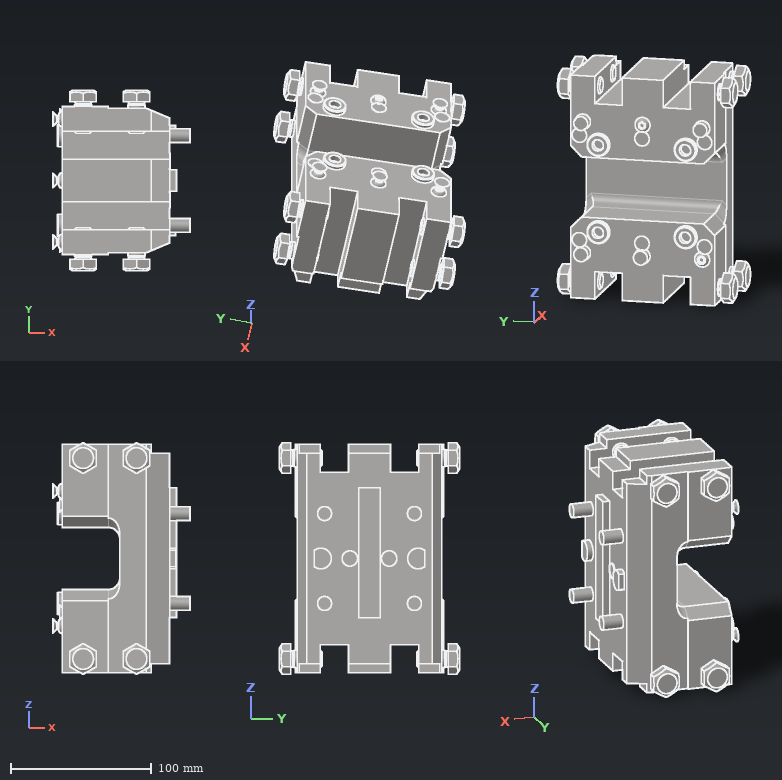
import cadquery as cq
import math


BLOCK_DEPTH = 76.5
JAW_DEPTH = 33.0
JAW_HALF_WIDTH = 52.75
BACK_HALF_WIDTH = 51.5
FULL_HEIGHT_DEPTH = 63.5
HALF_HEIGHT = 81.5
BACK_HALF_HEIGHT = 75.0
TAPER_START = 60.0
TAPER_END_HALF_WIDTH = 44.5

SLOT_WIDTH = 20.0
SLOT_DEPTH = 20.0
SLOT_INNER_Y = 15.0

CHANNEL_HALF_HEIGHT = 22.0
CHANNEL_DEPTH = 41.0
CHANNEL_MOUTH_FLARE = 8.0
CHANNEL_RADIUS = 8.0

BOLT_X = (15.0, 53.0)
BOLT_Z = 71.5
HEX_SIDES = 6
HEX_FLATS = 19.0
HEAD_TOP_Y = 64.3
HEAD_HEIGHT = 8.4
HEAD_FACE_RADIUS = 7.4
HEAD_CHAMFER_HEIGHT = 2.2
SHANK_RADIUS = 6.2
UNDERCUT_RADIUS = 5.4
UNDERCUT_WIDTH = 2.3
TIP_Y = 33.8
TIP_CHAMFER = 1.3

MOUNT_OFFSET = 32.0
MOUNT_HEAD_RADIUS = 8.0
MOUNT_HEAD_RISE = 3.5
MOUNT_HEAD_EDGE = 0.6
MOUNT_SHANK_RADIUS = 5.0
MOUNT_SHANK_END = 91.1
MOUNT_SOCKET_RADIUS = 4.1
MOUNT_SOCKET_DEPTH = 5.0

SUNK_RADIUS = 5.3
SUNK_RISE = 1.8
SUNK_Y = 45.9
SUNK_Z = 38.3

BUTTON_Y = 43.7
BUTTON_Z = 48.0
BUTTON_RADIUS = 5.5
BUTTON_TOP_RADIUS = 3.0
BUTTON_RISE = 2.6
BUTTON_BULGE = 0.4
SOCKET_CORE_RADIUS = 2.0
SOCKET_LOBE_RADIUS = 0.6
SOCKET_LOBES = 6
SOCKET_DEPTH = 1.6

RAISED_RADIUS = 5.1
RAISED_RISE = 6.5

CONE_NECK_RADIUS = 2.4
CONE_HEIGHT = 2.7

KEY_WIDTH = 15.6
KEY_TOP_Z = 50.4
KEY_BOTTOM_Z = -42.0
KEY_RISE = 5.0
PAD_Y = 34.6
PAD_RADIUS = 7.4
PAD_FLAT_Y = 39.3
PAD_RISE = 4.3
THIN_DISC_RADIUS = 5.5
THIN_DISC_RISE = 0.6
THIN_DISC_Y = 14.0

SIGNS = (1, -1)


def box(x_range, y_range, z_range):
    """Axis-aligned box between the given limits."""
    sizes = [high - low for low, high in (x_range, y_range, z_range)]
    corner = (x_range[0], y_range[0], z_range[0])
    return cq.Workplane("XY").box(*sizes, centered=False).translate(corner)


def centered_box(x_range, half_width, half_height):
    """Box centred on the X axis."""
    return box(x_range, (-half_width, half_width), (-half_height, half_height))


def cylinder_x(x_start, x_end, radius, y, z):
    """Cylinder along X."""
    return cq.Workplane("YZ", origin=(x_start, y, z)).circle(radius).extrude(x_end - x_start)


def front_revolve(profile, y, z):
    """Turn a closed XY profile, drawn with Y as the radius, about an X-parallel axis."""
    return profile.close().revolve(360, (0, 0, 0), (1, 0, 0)).translate((0, y, z))


def make_block():
    footprint = (
        cq.Workplane("XY", origin=(0, 0, -HALF_HEIGHT))
        .moveTo(0, -JAW_HALF_WIDTH)
        .lineTo(JAW_DEPTH, -JAW_HALF_WIDTH)
        .lineTo(JAW_DEPTH, -BACK_HALF_WIDTH)
        .lineTo(TAPER_START, -BACK_HALF_WIDTH)
        .lineTo(BLOCK_DEPTH, -TAPER_END_HALF_WIDTH)
        .lineTo(BLOCK_DEPTH, 0)
        .lineTo(0, 0)
        .close()
    )
    half = footprint.extrude(2 * HALF_HEIGHT)
    block = half.union(half.mirror("XZ"))
    for sign in SIGNS:
        z_limits = sorted((sign * BACK_HALF_HEIGHT, sign * HALF_HEIGHT))
        block = block.cut(
            box((FULL_HEIGHT_DEPTH, BLOCK_DEPTH), (-JAW_HALF_WIDTH, JAW_HALF_WIDTH), z_limits)
        )
    return block


def make_rail_slots():
    slots = cq.Workplane("XY")
    for y_sign in SIGNS:
        y_limits = sorted((y_sign * SLOT_INNER_Y, y_sign * (SLOT_INNER_Y + SLOT_WIDTH)))
        for z_sign in SIGNS:
            z_limits = sorted((z_sign * (HALF_HEIGHT - SLOT_DEPTH), z_sign * HALF_HEIGHT))
            slots = slots.union(box((0, BLOCK_DEPTH), y_limits, z_limits))
    return slots


def make_channel():
    """Channel that flares at 45 degrees toward both sides and has a rounded floor edge."""
    flare_start = JAW_HALF_WIDTH - CHANNEL_MOUTH_FLARE
    overrun = 2 * CHANNEL_MOUTH_FLARE
    outer_y = flare_start + overrun
    outer_z = CHANNEL_HALF_HEIGHT + overrun
    section = [
        (-outer_y, -outer_z),
        (-flare_start, -CHANNEL_HALF_HEIGHT),
        (flare_start, -CHANNEL_HALF_HEIGHT),
        (outer_y, -outer_z),
        (outer_y, outer_z),
        (flare_start, CHANNEL_HALF_HEIGHT),
        (-flare_start, CHANNEL_HALF_HEIGHT),
        (-outer_y, outer_z),
    ]
    channel = cq.Workplane("YZ").polyline(section).close().extrude(CHANNEL_DEPTH)
    return channel.faces(">X").edges("not |Z").fillet(CHANNEL_RADIUS)


def make_hex_bolt():
    """Hexagon bolt for the -Y side, its axis on the Y axis."""
    hex_radius = HEX_FLATS / math.sqrt(3)
    head_seat_y = HEAD_TOP_Y - HEAD_HEIGHT
    corner_angles = [2 * math.pi * i / HEX_SIDES for i in range(HEX_SIDES)]
    hexagon = [(hex_radius * math.sin(a), hex_radius * math.cos(a)) for a in corner_angles]
    seat_plane = cq.Workplane("XZ", origin=(0, -head_seat_y, 0))
    head = seat_plane.polyline(hexagon).close().extrude(HEAD_HEIGHT)
    chamfer_cone = (
        cq.Workplane("XY")
        .moveTo(0, -head_seat_y)
        .lineTo(hex_radius, -head_seat_y)
        .lineTo(hex_radius, HEAD_CHAMFER_HEIGHT - HEAD_TOP_Y)
        .lineTo(HEAD_FACE_RADIUS, -HEAD_TOP_Y)
        .lineTo(0, -HEAD_TOP_Y)
        .close()
        .revolve(360, (0, 0, 0), (0, 1, 0))
    )
    shank = (
        cq.Workplane("XY")
        .moveTo(0, -TIP_Y)
        .lineTo(SHANK_RADIUS - TIP_CHAMFER, -TIP_Y)
        .lineTo(SHANK_RADIUS, -TIP_Y - TIP_CHAMFER)
        .lineTo(SHANK_RADIUS, UNDERCUT_WIDTH - head_seat_y)
        .lineTo(UNDERCUT_RADIUS, UNDERCUT_WIDTH / 2 - head_seat_y)
        .lineTo(SHANK_RADIUS, -head_seat_y)
        .lineTo(0, -head_seat_y)
        .close()
        .revolve(360, (0, 0, 0), (0, 1, 0))
    )
    return head.intersect(chamfer_cone).union(shank)


def make_side_bolts():
    bolt = make_hex_bolt()
    bolts = cq.Workplane("XY")
    for side_bolt in (bolt, bolt.mirror("XZ")):
        for x in BOLT_X:
            for z_sign in SIGNS:
                bolts = bolts.union(side_bolt.translate((x, 0, z_sign * BOLT_Z)))
    return bolts


def make_mount_screw(y, z):
    head = cylinder_x(-MOUNT_HEAD_RISE, BLOCK_DEPTH / 2, MOUNT_HEAD_RADIUS, y, z)
    head = head.faces("<X").edges().chamfer(MOUNT_HEAD_EDGE)
    return head.union(cylinder_x(0, MOUNT_SHANK_END, MOUNT_SHANK_RADIUS, y, z))


def make_mount_socket(y, z):
    floor_x = MOUNT_SOCKET_DEPTH - MOUNT_HEAD_RISE
    return cylinder_x(-MOUNT_HEAD_RISE, floor_x, MOUNT_SOCKET_RADIUS, y, z)


def make_button_head(y, z):
    """Domed head with a six-lobed socket."""
    mean_radius = (BUTTON_RADIUS + BUTTON_TOP_RADIUS) / 2
    middle = (-BUTTON_RISE / 2 - BUTTON_BULGE, mean_radius + BUTTON_BULGE)
    profile = (
        cq.Workplane("XY")
        .moveTo(0, 0)
        .lineTo(0, BUTTON_RADIUS)
        .threePointArc(middle, (-BUTTON_RISE, BUTTON_TOP_RADIUS))
        .lineTo(-BUTTON_RISE, 0)
    )
    head = front_revolve(profile, y, z)
    socket_floor = SOCKET_DEPTH - BUTTON_RISE
    head = head.cut(cylinder_x(-BUTTON_RISE, socket_floor, SOCKET_CORE_RADIUS, y, z))
    for i in range(SOCKET_LOBES):
        angle = 2 * math.pi * i / SOCKET_LOBES
        lobe_y = y + SOCKET_CORE_RADIUS * math.sin(angle)
        lobe_z = z + SOCKET_CORE_RADIUS * math.cos(angle)
        head = head.cut(cylinder_x(-BUTTON_RISE, socket_floor, SOCKET_LOBE_RADIUS, lobe_y, lobe_z))
    return head


def make_countersunk_screw(rise, head_radius, y, z):
    """Screw with its wide flat face outward, the given distance in front of the block."""
    cone_end = CONE_HEIGHT - rise
    profile = (
        cq.Workplane("XY")
        .moveTo(-rise, 0)
        .lineTo(-rise, head_radius)
        .lineTo(cone_end, CONE_NECK_RADIUS)
        .lineTo(CONE_HEIGHT, CONE_NECK_RADIUS)
        .lineTo(CONE_HEIGHT, 0)
    )
    return front_revolve(profile, y, z)


def make_back_features():
    features = box(
        (BLOCK_DEPTH, BLOCK_DEPTH + KEY_RISE),
        (-KEY_WIDTH / 2, KEY_WIDTH / 2),
        (KEY_BOTTOM_Z, KEY_TOP_Z),
    )
    pad_top_x = BLOCK_DEPTH + PAD_RISE
    disc_top_x = BLOCK_DEPTH + THIN_DISC_RISE
    flat_limits = centered_box((BLOCK_DEPTH, pad_top_x), PAD_FLAT_Y, PAD_RADIUS)
    for sign in SIGNS:
        pad = cylinder_x(BLOCK_DEPTH, pad_top_x, PAD_RADIUS, sign * PAD_Y, 0)
        thin_disc = cylinder_x(BLOCK_DEPTH, disc_top_x, THIN_DISC_RADIUS, sign * THIN_DISC_Y, 0)
        features = features.union(pad.intersect(flat_limits)).union(thin_disc)
    return features


result = make_block().cut(make_rail_slots()).cut(make_channel())
result = result.union(make_side_bolts()).union(make_back_features())

for y_sign in SIGNS:
    for z_sign in SIGNS:
        mount_at = (y_sign * MOUNT_OFFSET, z_sign * MOUNT_OFFSET)
        result = result.union(make_mount_screw(*mount_at)).cut(make_mount_socket(*mount_at))

for z_sign in SIGNS:
    for y_sign in (1, 0, -1):
        sunk_at = (y_sign * SUNK_Y, z_sign * SUNK_Z)
        button_at = (y_sign * BUTTON_Y, z_sign * BUTTON_Z)
        result = result.union(make_countersunk_screw(SUNK_RISE, SUNK_RADIUS, *sunk_at))
        result = result.union(make_button_head(*button_at))

for y_sign, z_sign in ((1, 1), (-1, 1), (1, -1), (0, -1)):
    raised_at = (y_sign * BUTTON_Y, z_sign * BUTTON_Z)
    result = result.union(make_countersunk_screw(RAISED_RISE, RAISED_RADIUS, *raised_at))